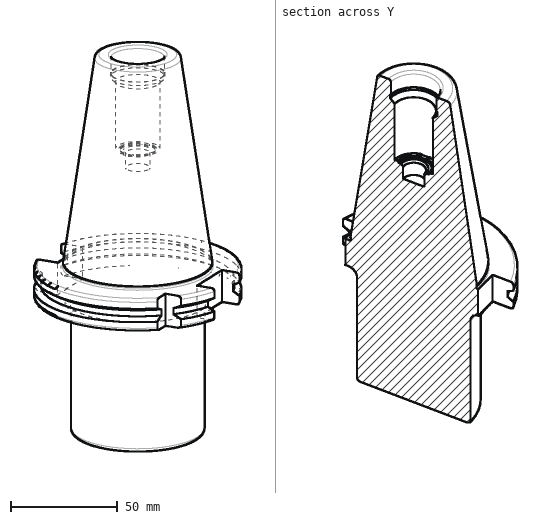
import cadquery as cq
import math

total_height = 186.8
body_diameter = 63.0
body_radius = body_diameter / 2
body_edge_round = 2.0

gauge_height = 85.0
gauge_radius = 35.0
taper_slope = 7 / 24 / 2
top_edge_round = 2.0
taper_bottom = 83.7
neck_radius = 34.7
neck_root_round = 0.7

flange_radius = 48.7
flange_top = 82.0
flange_thickness = 15.9
flange_bottom = flange_top - flange_thickness
flange_edge_round = 1.5
flange_root_round = 4.7

groove_center = 74.0
groove_depth = 3.2
groove_floor_width = 3.0
groove_wall_angle = 30

slot_width = 25.5
slot_floor_left = 35.7
slot_floor_right = 38.0
notch_offset = 30.0

pilot_radius = 12.5
mouth_round = 1.3
pilot_depth = 9.3
relief_radius = 12.9
relief_height = 1.7
thread_radius = 10.5
seat_depth = 46.7
key_width = 4.0
key_depth = 0.5
step_radius = 8.8
step_chamfer = 0.4
step_depth = 1.0
hole_radius = 5.8
hole_chamfer = 1.1
hole_depth = 9.3


def taper_radius(height):
    """Radius of the steep taper at a given height."""
    return gauge_radius - taper_slope * (height - gauge_height)


def make_blank():
    """Revolve the body, flange and taper, without the edge rounds."""
    return (
        cq.Workplane("XZ")
        .moveTo(0, 0)
        .lineTo(body_radius, 0)
        .lineTo(body_radius, flange_bottom - flange_root_round)
        .radiusArc((body_radius + flange_root_round, flange_bottom), flange_root_round)
        .lineTo(flange_radius, flange_bottom)
        .lineTo(flange_radius, flange_top)
        .lineTo(neck_radius + neck_root_round, flange_top)
        .radiusArc((neck_radius, flange_top + neck_root_round), neck_root_round)
        .lineTo(neck_radius, taper_bottom)
        .lineTo(taper_radius(taper_bottom), taper_bottom)
        .lineTo(taper_radius(total_height), total_height)
        .lineTo(0, total_height)
        .close()
        .revolve(360, (0, 0, 0), (0, 1, 0))
    )


def round_edges(blank):
    """Round both ends of the shank and both rims of the flange."""
    rounded = blank.faces("<Z").edges().fillet(body_edge_round)
    rounded = rounded.faces(">Z").edges().fillet(top_edge_round)
    rims = cq.selectors.RadiusNthSelector(-1)
    return rounded.edges("%CIRCLE").edges(rims).fillet(flange_edge_round)


def make_groove():
    """Ring with the V profile of the gripper groove."""
    floor_radius = flange_radius - groove_depth
    half_floor = groove_floor_width / 2
    half_mouth = half_floor + groove_depth * math.tan(math.radians(groove_wall_angle))
    return (
        cq.Workplane("XZ")
        .moveTo(floor_radius, groove_center - half_floor)
        .lineTo(flange_radius, groove_center - half_mouth)
        .lineTo(flange_radius, groove_center + half_mouth)
        .lineTo(floor_radius, groove_center + half_floor)
        .close()
        .revolve(360, (0, 0, 0), (0, 1, 0))
    )


def flange_cutter(x_min, x_max, y_min, y_max):
    """Block that cuts through the full flange thickness."""
    return (
        cq.Workplane("XY")
        .workplane(offset=flange_bottom)
        .moveTo(x_min, y_min)
        .lineTo(x_max, y_min)
        .lineTo(x_max, y_max)
        .lineTo(x_min, y_max)
        .close()
        .extrude(flange_thickness)
    )


def make_bore():
    """Blind bore: pilot, relief, countersunk thread hole and a keyed seat with a stepped hole."""
    pilot_bottom = total_height - pilot_depth
    relief_bottom = pilot_bottom - relief_height
    countersink_bottom = relief_bottom - (relief_radius - thread_radius)
    seat = total_height - seat_depth
    step = seat - step_depth
    hole_bottom = seat - hole_depth
    return (
        cq.Workplane("XZ")
        .moveTo(0, total_height)
        .lineTo(pilot_radius + mouth_round, total_height)
        .radiusArc((pilot_radius, total_height - mouth_round), -mouth_round)
        .lineTo(pilot_radius, pilot_bottom)
        .lineTo(relief_radius, pilot_bottom)
        .lineTo(relief_radius, relief_bottom)
        .lineTo(thread_radius, countersink_bottom)
        .lineTo(thread_radius, seat)
        .lineTo(step_radius, seat)
        .lineTo(step_radius - step_chamfer, seat - step_chamfer)
        .lineTo(step_radius - step_chamfer, step)
        .lineTo(hole_radius + hole_chamfer, step)
        .lineTo(hole_radius, step - hole_chamfer)
        .lineTo(hole_radius, hole_bottom)
        .lineTo(0, hole_bottom)
        .close()
        .revolve(360, (0, 0, 0), (0, 1, 0))
    )


def make_seat_keys():
    """Bar that cuts two opposite key slots into the bore seat, bounded by the thread hole."""
    key_floor = cq.Workplane("XY").workplane(offset=total_height - seat_depth - key_depth)
    bar = key_floor.rect(key_width, 2 * thread_radius).extrude(key_depth)
    return bar.intersect(key_floor.circle(thread_radius).extrude(key_depth))


result = round_edges(make_blank())
result = result.cut(make_groove())

half_slot = slot_width / 2
result = result.cut(flange_cutter(-flange_radius, -slot_floor_left, -half_slot, half_slot))
result = result.cut(flange_cutter(slot_floor_right, flange_radius, -half_slot, half_slot))
result = result.cut(flange_cutter(notch_offset, flange_radius, -flange_radius, -notch_offset))

result = result.cut(make_bore())
result = result.cut(make_seat_keys())